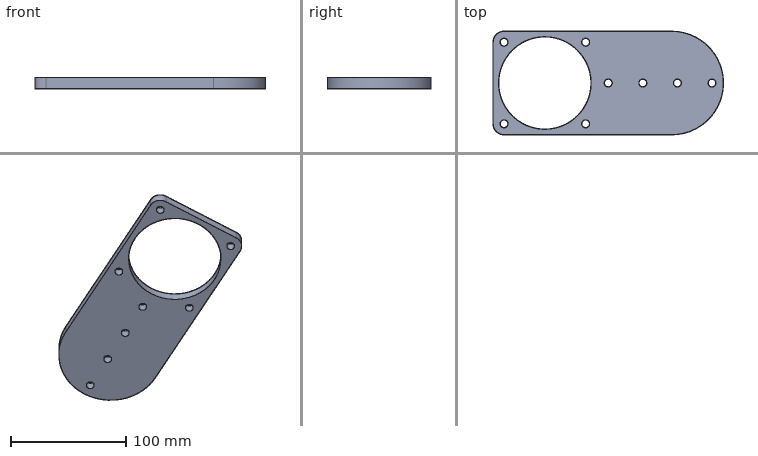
import cadquery as cq

length = 200.0
width = 90.0
thickness = 10.0
end_radius = width / 2
corner_radius = 9.5

opening_diameter = 80.0
opening_x = width / 2
screw_spacing = 70.8
hole_diameter = 6.5

row_start_x = 100.0
row_pitch = 30.0
row_count = 4


def make_plate():
    straight_end_x = length - end_radius
    plate = (
        cq.Workplane("XY")
        .moveTo(0, -width / 2)
        .lineTo(straight_end_x, -width / 2)
        .threePointArc((length, 0), (straight_end_x, width / 2))
        .lineTo(0, width / 2)
        .close()
        .extrude(thickness)
    )
    return plate.edges("|Z and <X").fillet(corner_radius)


def make_through_holes(points, diameter):
    return cq.Workplane("XY").pushPoints(points).circle(diameter / 2).extrude(thickness)


screw_points = [
    (opening_x + x_side * screw_spacing / 2, y_side * screw_spacing / 2)
    for x_side in (-1, 1)
    for y_side in (-1, 1)
]
row_points = [(row_start_x + i * row_pitch, 0) for i in range(row_count)]

result = (
    make_plate()
    .cut(make_through_holes([(opening_x, 0)], opening_diameter))
    .cut(make_through_holes(screw_points + row_points, hole_diameter))
)